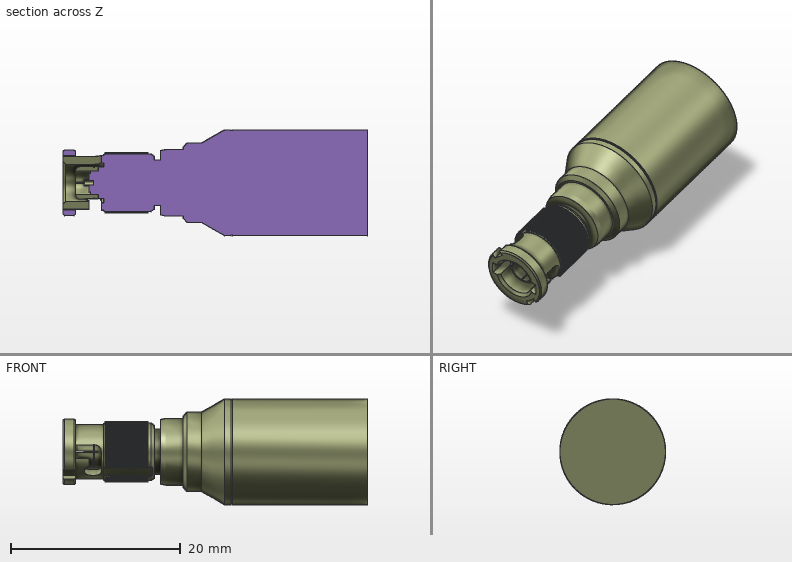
import cadquery as cq
import math

length = 35.9

body_radius = 6.25
body_front = 11.5
nose_radius = 3.95
nose_tip_radius = 3.8
nose_taper_end = 12.15
shoulder_start = 14.2
shoulder_start_radius = 4.2
shoulder_end = 14.6
shoulder_radius = 4.7
cone_start = 16.35
cone_end = 19.05
seam_start = 19.82
seam_width = 0.18
seam_depth = 0.07

flange_radius = 3.88
flange_width = 1.5
flange_chamfer = 0.18
sleeve_radius = 3.23
neck_radius = 2.7
bore_radius = 2.35
bore_mouth_radius = 2.65
bore_mouth_depth = 0.32
bore_depth = 4.8

grip_radius = 3.55
grip_start = 4.8
grip_start_radius = 3.35
grip_chamfer_end = 4.95
rim_chamfer_start = 10.38
rim_end_radius = 3.12
grip_end = 10.77
grip_core_radius = 3.4
knurl_start = 5.0
knurl_row_count = 22
knurl_row_pitch = 0.235
knurl_groove_width = 0.1
knurl_line_count = 96
knurl_line_width = 0.1
tooth_root_radius = 3.45
row_inner_radius = 3.35

key_angle = 45.0
key_width = 1.47
track_width = 1.6
track_floor_radius = 3.2
track_end = 4.52
track_corner_radius = track_width / 2
track_turn_start = 3.1
lock_hole_length = 2.0
lock_hole_width = 1.55
lock_hole_center = 3.55

tube_radius = 1.9
tube_inner_radius = 1.4
tube_front = 1.5
tube_tip_rounding = 0.45
tube_slot_width = 0.15
tube_slot_end = 4.15
tube_groove_start = 3.6
tube_groove_width = 0.15
tube_groove_depth = 0.07
insulator_radius = 1.1
insulator_front = 3.23
insulator_step = 0.18
pin_radius = 0.4
pin_front = 2.5
pin_socket_radius = 0.25
pin_socket_depth = 1.08

clearance = 0.35
track_tube_gap = 0.07
tube_slot_overlap = 0.18


def turned(points):
    """Solid of revolution about X from a closed outline of (x, radius) points."""
    return cq.Workplane("XY").polyline(points).close().revolve(360, (0, 0, 0), (1, 0, 0))


def cylinder(start, end, radius):
    return cq.Workplane("YZ").workplane(offset=start).circle(radius).extrude(end - start)


def ring(start, end, inner_radius, outer_radius):
    return cylinder(start, end, outer_radius).cut(cylinder(start, end, inner_radius))


def block(start, end, inner, outer, width):
    """Box reaching along +Y from inner to outer, centred on Z = 0."""
    return cq.Workplane("XY").box(end - start, outer - inner, width).translate(
        ((start + end) / 2, (inner + outer) / 2, 0)
    )


def about_axis(shape, angle):
    return shape.rotate((0, 0, 0), (1, 0, 0), angle)


def cut_on_both_sides(shape, cutter):
    """Cut twice, half a turn apart about X."""
    return shape.cut(cutter).cut(about_axis(cutter, 180))


def make_body():
    seam_end = seam_start + seam_width
    seam_radius = body_radius - seam_depth
    return turned([
        (bore_depth, 0),
        (bore_depth, neck_radius),
        (body_front, neck_radius),
        (body_front, nose_tip_radius),
        (nose_taper_end, nose_radius),
        (shoulder_start, nose_radius),
        (shoulder_start, shoulder_start_radius),
        (shoulder_end, shoulder_radius),
        (cone_start, shoulder_radius),
        (cone_end, body_radius),
        (seam_start, body_radius),
        (seam_start, seam_radius),
        (seam_end, seam_radius),
        (seam_end, body_radius),
        (length, body_radius),
        (length, 0),
    ])


def make_sleeve():
    return turned([
        (0, bore_mouth_radius),
        (0, flange_radius - flange_chamfer),
        (flange_chamfer, flange_radius),
        (flange_width - flange_chamfer, flange_radius),
        (flange_width, flange_radius - flange_chamfer),
        (flange_width, sleeve_radius),
        (grip_start, sleeve_radius),
        (grip_start, grip_start_radius),
        (grip_chamfer_end, grip_core_radius),
        (rim_chamfer_start, grip_core_radius),
        (grip_end, rim_end_radius),
        (grip_end, bore_radius),
        (bore_mouth_depth, bore_radius),
    ])


def make_key_slot():
    depth_limit = 2 * flange_radius
    slot = block(-clearance, flange_width, sleeve_radius, depth_limit, key_width)
    slot = slot.union(block(grip_start, grip_end, sleeve_radius, depth_limit, key_width))
    return about_axis(slot, key_angle)


def make_track():
    """J-shaped track: straight entry, turn towards the key angle, round-ended locking hole."""
    inner = tube_radius + track_tube_gap
    outer = sleeve_radius + clearance
    entry = block(-clearance, flange_width, inner, outer, track_width)
    entry = entry.intersect(cylinder(-clearance, flange_width, track_floor_radius))
    run = block(flange_width, track_end, inner, outer, track_width)
    run = run.edges("|Y and >X and <Z").fillet(track_corner_radius)
    turn = (
        cq.Workplane("XY")
        .moveTo((track_turn_start + track_end) / 2, (inner + outer) / 2)
        .rect(track_end - track_turn_start, outer - inner)
        .revolve(key_angle, (0, 0, 0), (1, 0, 0))
    )
    hole = (
        cq.Workplane("XZ", origin=(lock_hole_center, inner, 0))
        .slot2D(lock_hole_length, lock_hole_width)
        .extrude(inner - outer)
    )
    return entry.union(run).union(turn).union(about_axis(hole, key_angle))


def make_knurl_rows():
    """Toothed rings side by side on the grip, each interrupted by the key slots."""
    half_groove = knurl_line_width / grip_radius / 2
    pitch = 2 * math.pi / knurl_line_count
    points = []
    for index in range(knurl_line_count):
        start = index * pitch + half_groove
        end = (index + 1) * pitch - half_groove
        for radius, angle in (
            (tooth_root_radius, start),
            (grip_radius, start),
            (grip_radius, end),
            (tooth_root_radius, end),
        ):
            points.append((radius * math.cos(angle), radius * math.sin(angle)))
    row = (
        cq.Workplane("YZ")
        .workplane(offset=knurl_start)
        .polyline(points)
        .close()
        .circle(row_inner_radius)
        .extrude(knurl_row_pitch - knurl_groove_width)
    )
    row = cut_on_both_sides(row, make_key_slot())
    return [row.translate((index * knurl_row_pitch, 0, 0)).val() for index in range(knurl_row_count)]


def make_contact_tube():
    """Spring contact tube with a rounded tip, a shallow outer groove and four slots."""
    tip_end = tube_front + tube_tip_rounding
    tip_radius = tube_radius - tube_tip_rounding
    bend = tube_tip_rounding * math.sqrt(0.5)
    outline = (
        cq.Workplane("XY")
        .moveTo(bore_depth, tube_inner_radius)
        .lineTo(tube_front, tube_inner_radius)
        .lineTo(tube_front, tip_radius)
        .threePointArc((tip_end - bend, tip_radius + bend), (tip_end, tube_radius))
        .lineTo(bore_depth, tube_radius)
        .close()
    )
    tube = outline.revolve(360, (0, 0, 0), (1, 0, 0))
    groove_end = tube_groove_start + tube_groove_width
    tube = tube.cut(ring(tube_groove_start, groove_end, tube_radius - tube_groove_depth, bore_radius))
    slot = block(0, tube_slot_end, tube_inner_radius - tube_slot_overlap, bore_radius, tube_slot_width)
    for quarter in range(4):
        tube = tube.cut(about_axis(slot, 90 * quarter))
    return tube


def make_contact_pin():
    """Insulator with a raised centre, carrying the hollow centre pin."""
    insulator = cylinder(insulator_front, bore_depth, tube_inner_radius)
    raised = cylinder(insulator_front - insulator_step, insulator_front, insulator_radius)
    pin = cylinder(pin_front, insulator_front, pin_radius)
    socket = cylinder(pin_front, pin_front + pin_socket_depth, pin_socket_radius)
    return insulator.union(raised).union(pin).cut(socket)


shell = make_body().union(make_sleeve())
shell = cut_on_both_sides(shell, make_track())
shell = cut_on_both_sides(shell, make_key_slot())
shell = shell.union(make_contact_tube()).union(make_contact_pin())
result = cq.Workplane(shell.val().fuse(*make_knurl_rows()))